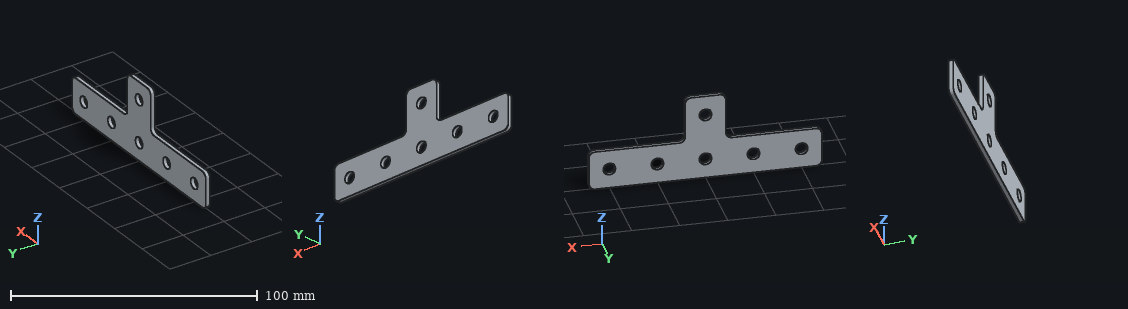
import cadquery as cq

bar_length = 97.0
arm_width = 17.0
thickness = 2.0
hole_diameter = 5.0
corner_radius = 2.5
bar_hole_count = 5

hole_pitch = (bar_length - arm_width) / (bar_hole_count - 1)

bar = cq.Workplane("XZ").rect(bar_length, arm_width).extrude(thickness / 2, both=True)
stem = (
    cq.Workplane("XZ")
    .center(0, hole_pitch / 2)
    .rect(arm_width, arm_width + hole_pitch)
    .extrude(thickness / 2, both=True)
)
plate = bar.union(stem, clean=True)

plate = plate.edges("|Y").fillet(corner_radius)

first_hole_x = -hole_pitch * (bar_hole_count - 1) / 2
hole_centres = [(first_hole_x + i * hole_pitch, 0) for i in range(bar_hole_count)]
hole_centres.append((0, hole_pitch))
holes = (
    cq.Workplane("XZ")
    .pushPoints(hole_centres)
    .circle(hole_diameter / 2)
    .extrude(thickness, both=True)
)

result = plate.cut(holes)